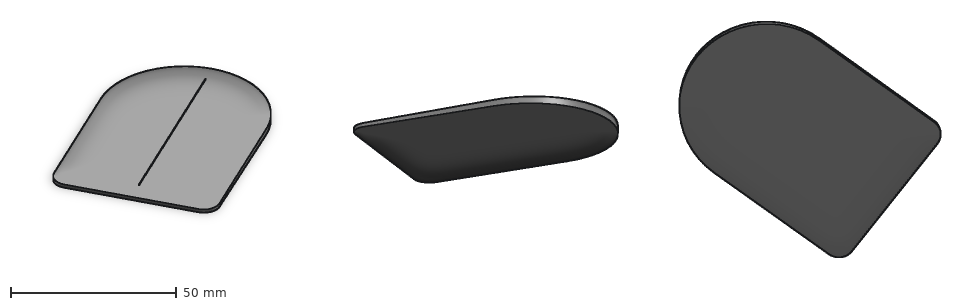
import cadquery as cq
import math

width = 53.0
length = 75.0
slope_angle = 1.0
front_height = 1.2
corner_radius = 5.0

strip_width = 0.1
strip_front_gap = 7.0
strip_back_gap = 6.0
strip_depth = 0.2

half_width = width / 2
arc_start = length - half_width
slope = math.tan(math.radians(slope_angle))
back_height = front_height + slope * length


def top_height(y):
    """Height of the sloping top face at a distance y from the front edge."""
    return front_height + slope * y


def side_prism(points, prism_width):
    """Extrude a Y-Z outline symmetrically about the centre plane X = 0."""
    return cq.Workplane("YZ").polyline(points).close().extrude(prism_width / 2, both=True)


def make_strip():
    front = strip_front_gap
    back = length - strip_back_gap
    return side_prism(
        [
            (front, top_height(front) - strip_depth),
            (back, top_height(back) - strip_depth),
            (back, top_height(back)),
            (front, top_height(front)),
        ],
        strip_width,
    )


def make_plate(strip):
    outline = (
        cq.Workplane("XY")
        .moveTo(-half_width, 0)
        .lineTo(half_width, 0)
        .lineTo(half_width, arc_start)
        .threePointArc((0, length), (-half_width, arc_start))
        .close()
        .extrude(back_height)
        .edges("|Z and <Y")
        .fillet(corner_radius)
    )
    wedge = side_prism(
        [(0, 0), (length, 0), (length, back_height), (0, front_height)],
        width,
    )
    return outline.intersect(wedge).cut(strip)


strip = make_strip()
plate = make_plate(strip)

result = cq.Compound.makeCompound([plate.val(), strip.val()])